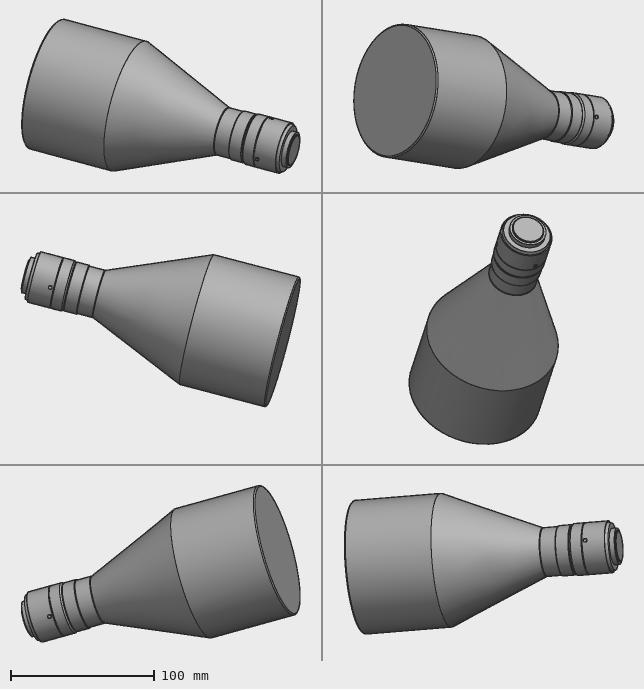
import cadquery as cq

length = 186.7
barrel_diameter = 94.0
barrel_radius = barrel_diameter / 2
barrel_end = 62.4
barrel_chamfer = 1.0
shoulder_width = 0.5
shoulder_drop = 0.2

cone_end = 133.0
neck_radius = 17.2
relief_width = 0.5
relief_depth = 0.2

ring_start = 144.9
ring_end = 154.2
ring_radius = 17.7
ring_chamfer = 0.5

collar_start = 155.5
collar_front_bevel = 1.1
collar_end = 180.0
collar_radius = 18.3
groove_center = 163.5
groove_width = 0.5
groove_depth = 1.7

taper_start_radius = 17.4
taper_end = 182.2
taper_end_radius = 16.6

spigot_radius = 12.9
lip_length = 1.0
lip_radius = 11.2
lip_chamfer_length = 0.5
lip_chamfer_depth = 0.5

hole_count = 3
first_hole_angle = 1.5
hole_x = 166.2
hole_radius = 1.3
hole_depth = 0.7
hole_tip_depth = 0.7


def make_body():
    """Revolve the stepped outline around the X axis."""
    cone_start = barrel_end + shoulder_width
    outline = [
        (0, 0),
        (0, barrel_radius - barrel_chamfer),
        (barrel_chamfer, barrel_radius),
        (barrel_end, barrel_radius),
        (cone_start, barrel_radius - shoulder_drop),
        (cone_end, neck_radius),
        (cone_end, neck_radius - relief_depth),
        (cone_end + relief_width, neck_radius - relief_depth),
        (cone_end + relief_width, neck_radius),
        (ring_start - ring_chamfer, neck_radius),
        (ring_start, ring_radius),
        (ring_end - ring_chamfer, ring_radius),
        (ring_end, neck_radius),
        (collar_start - collar_front_bevel, neck_radius),
        (collar_start, collar_radius),
        (collar_end, collar_radius),
        (collar_end, taper_start_radius),
        (taper_end, taper_end_radius),
        (taper_end, spigot_radius),
        (length - lip_length, spigot_radius),
        (length - lip_length, lip_radius),
        (length - lip_chamfer_length, lip_radius),
        (length, lip_radius - lip_chamfer_depth),
        (length, 0),
    ]
    return cq.Workplane("XY").polyline(outline).close().revolve(360, (0, 0, 0), (1, 0, 0))


def make_collar_groove():
    """Thin ring that is cut out of the collar."""
    groove_start = groove_center - groove_width / 2
    return (
        cq.Workplane("YZ", origin=(groove_start, 0, 0))
        .circle(collar_radius + groove_depth)
        .circle(collar_radius - groove_depth)
        .extrude(groove_width)
    )


def make_hole(angle):
    """Radial blind hole with a conical tip, at an angle about X from the -Y side."""
    hole_top = collar_radius + hole_depth
    hole_shoulder = collar_radius - hole_depth
    hole_tip = hole_shoulder - hole_tip_depth
    half_section = [
        (hole_x, -hole_top),
        (hole_x + hole_radius, -hole_top),
        (hole_x + hole_radius, -hole_shoulder),
        (hole_x, -hole_tip),
    ]
    profile = cq.Workplane("XY").polyline(half_section).close()
    hole = profile.revolve(360, (hole_x, 0, 0), (hole_x, 1, 0))
    return hole.rotate((0, 0, 0), (1, 0, 0), angle)


result = make_body().cut(make_collar_groove())
for index in range(hole_count):
    result = result.cut(make_hole(first_hole_angle + index * 360 / hole_count))